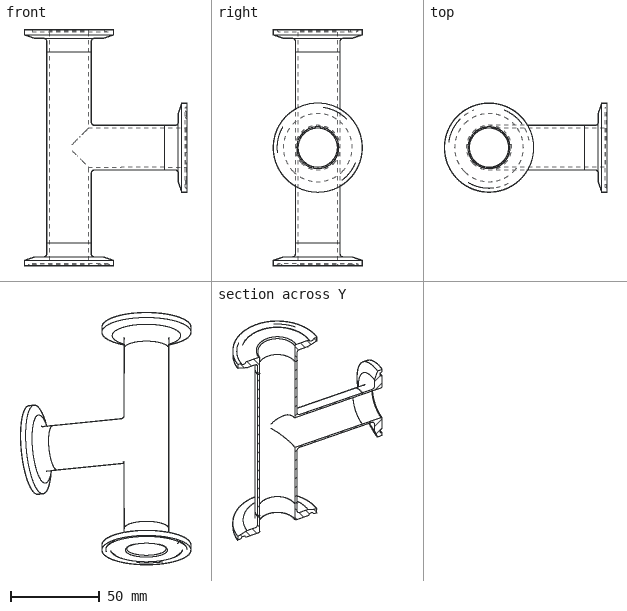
import cadquery as cq
import math

run_length = 133.4
half_run = run_length / 2
branch_reach = 66.7

tube_radius = 12.7
bore_radius = 11.1
crotch_fillet = 1.6

ferrule_length = 12.8
flange_radius = 25.2
rim_thickness = 3.1
flange_thickness = 5.1
back_radius = 19.3
neck_fillet = 1.6
bore_edge_chamfer = 0.8

groove_radius = 21.6
groove_width = 2.8
groove_depth = 1.3
groove_lip_fillet = 0.5
face_tolerance = 0.01


def make_tee():
    """Equal tee with a filleted crotch and through bores, without its ferrules."""
    run_end = half_run - ferrule_length
    branch_end = branch_reach - ferrule_length

    def run_cylinder(radius):
        return cq.Workplane("XY").circle(radius).extrude(run_end, both=True)

    def branch_cylinder(radius):
        return cq.Workplane("YZ").circle(radius).extrude(branch_end)

    outside = run_cylinder(tube_radius).union(branch_cylinder(tube_radius))
    junction = cq.selectors.BoxSelector(
        (0, -tube_radius, -tube_radius), (tube_radius, tube_radius, tube_radius), boundingbox=False
    )
    crotch_edges = [e for e in outside.edges(junction).vals() if e.geomType() != "LINE"]
    outside = outside.newObject(crotch_edges).fillet(crotch_fillet)
    return outside.cut(run_cylinder(bore_radius)).cut(branch_cylinder(bore_radius))


def make_ferrule():
    """Clamp ferrule on the Z axis, with its face at Z = 0 and its neck pointing down."""
    fillet_outer_radius = tube_radius + neck_fillet
    fillet_end = -flange_thickness - neck_fillet
    arc_inset = neck_fillet * (1 - math.sqrt(0.5))
    profile = (
        cq.Workplane("XZ")
        .moveTo(bore_radius, -ferrule_length)
        .lineTo(tube_radius, -ferrule_length)
        .lineTo(tube_radius, fillet_end)
        .threePointArc(
            (tube_radius + arc_inset, -flange_thickness - arc_inset),
            (fillet_outer_radius, -flange_thickness),
        )
        .lineTo(back_radius, -flange_thickness)
        .lineTo(flange_radius, -rim_thickness)
        .lineTo(flange_radius, 0)
        .lineTo(bore_radius + bore_edge_chamfer, 0)
        .lineTo(bore_radius, -bore_edge_chamfer)
        .close()
    )
    body = profile.revolve(360, (0, 0, 0), (0, 1, 0))
    groove = (
        cq.Workplane("XZ")
        .moveTo(groove_radius - groove_width / 2, 0)
        .threePointArc((groove_radius, -groove_depth), (groove_radius + groove_width / 2, 0))
        .close()
        .revolve(360, (0, 0, 0), (0, 1, 0))
    )
    body = body.cut(groove)
    lips = [
        edge
        for edge in body.edges("%CIRCLE").vals()
        if abs(edge.Center().z) < face_tolerance and abs(edge.radius() - groove_radius) < groove_width
    ]
    return body.newObject(lips).fillet(groove_lip_fillet)


tee = make_tee()

top_turn = 0
branch_turn = 90
bottom_turn = 180
ferrules = []
for reach, turn in ((half_run, top_turn), (branch_reach, branch_turn), (half_run, bottom_turn)):
    ferrule = make_ferrule().translate((0, 0, reach)).rotate((0, 0, 0), (0, 1, 0), turn)
    ferrules.append(ferrule.val())

result = cq.Compound.makeCompound([tee.val(), *ferrules])